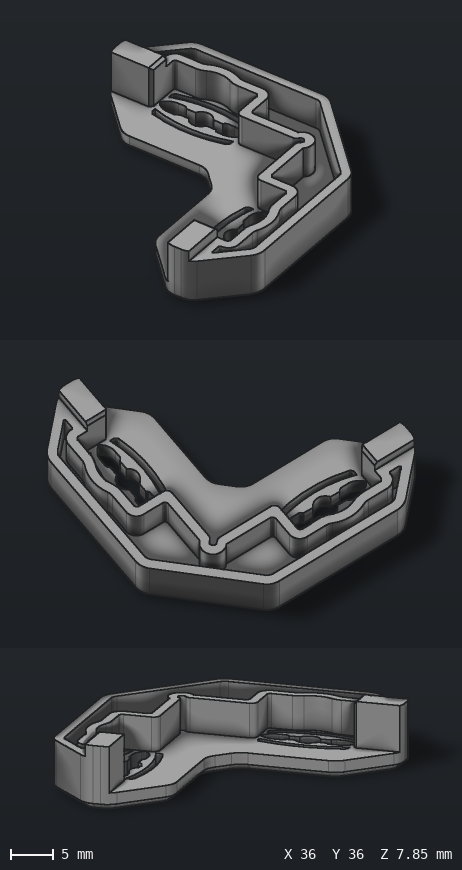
import cadquery as cq
import math


FLOOR_TOP = 2.2
WALL_TOP = 6.4
POST_TOP = 7.85
BOTTOM_BEVEL_HEIGHT = 0.8
BOTTOM_BEVEL_INSET = 1.0

ARM_LENGTH = 28.5
ARM_HALF_WIDTH = 7.5
TIP_HALF_WIDTH = 1.5
TIP_TAPER = ARM_HALF_WIDTH - TIP_HALF_WIDTH
OUTER_CORNER_CUT = 11.0
INNER_CORNER_CUT = 3.0
OUTLINE_RADIUS = 2.5

WALL = 1.25
RECESS_SIDE = 3.15
RECESS_END = -10.5
CORNER_SIDE = -1.5
RECESS_RADIUS = 0.4
HOLLOW_SHOULDER_RADIUS = 1.5
STEP_RADIUS = 0.8
STEP_RADIUS_HOLLOW = 0.5
HOLLOW_END = 2.7
HOLLOW_END_RADIUS = 0.15

CLIP_CENTER = -16.5
BULGE_RADIUS = 3.85
BULGE_BLEND = 3.0

RELIEF_CENTER = -1.4
RELIEF_RADIUS = 0.45
RELIEF_BLEND = 0.8
RELIEF_WALL_CENTER = -1.3
RELIEF_WALL_RADIUS = 1.58

POST_LENGTH = 6.0
POST_BEVEL = 0.4
POST_END = POST_LENGTH - ARM_LENGTH

HUB_RADIUS = 1.45
NECK_HALF_WIDTH = 0.7
NECK_END = 2.6
LOBE_HALF_WIDTH = 1.03
LOBE_RADIUS = 1.12 / 2
NOSE_START = 4.0
NOSE_RADIUS = 2.2
NOSE_ANGLE = math.radians(44)
NOSE_TIP_RADIUS = 0.2
BOW_HALF_LENGTH = 5.55
BOW_INNER_MID = 2.3
BOW_INNER_END = 1.42
BOW_OUTER_MID = 3.1
BOW_OUTER_END = 2.3
BOW_CORNER_RADIUS = 0.56

REACH = 2 * ARM_LENGTH


def both_arms(shape):
    """Join a shape of the -X arm with its mirror image on the -Y arm."""
    flipped = shape.mirror("XZ").rotate((0, 0, 0), (0, 0, 1), 90)
    return shape.union(flipped)


def prism(points, bottom, top):
    return cq.Workplane("XY").workplane(offset=bottom).polyline(points).close().extrude(top - bottom)


def disc(x, y, radius, bottom, top):
    return cq.Workplane("XY").workplane(offset=bottom).center(x, y).circle(radius).extrude(top - bottom)


def round_corners(shape, corners, radius):
    """Round the upright edges of a prism nearest to the given corners."""
    box = shape.val().BoundingBox()
    middle = (box.zmin + box.zmax) / 2
    for x, y in corners:
        shape = shape.edges("|Z").edges(cq.NearestToPointSelector((x, y, middle))).fillet(radius)
    return shape


def outline(top):
    """Bracket outline as an upright prism with rounded corners."""
    w = ARM_HALF_WIDTH
    arm = [
        (w - OUTER_CORNER_CUT, w),
        (TIP_TAPER - ARM_LENGTH, w),
        (-ARM_LENGTH, TIP_HALF_WIDTH),
        (-ARM_LENGTH, -TIP_HALF_WIDTH),
        (TIP_TAPER - ARM_LENGTH, -w),
        (-w - INNER_CORNER_CUT, -w),
    ]
    points = arm + [(y, x) for x, y in reversed(arm)]
    return prism(points, 0, top).edges("|Z").fillet(OUTLINE_RADIUS)


def inner_region(offset, shoulder_radius, step_radius, bottom, top):
    """Space on the inner side of the wall, grown by an offset from the wall's inner face."""
    side = RECESS_SIDE + offset
    start = POST_END - offset
    end = RECESS_END + offset
    corner = CORNER_SIDE + offset
    bulge = BULGE_RADIUS + offset
    base = TIP_HALF_WIDTH if offset == 0 else HOLLOW_END
    arm = prism(
        [
            (-REACH, base),
            (start, base),
            (start, side),
            (end, side),
            (end, corner),
            (corner, corner),
            (corner, -REACH),
            (-REACH, -REACH),
        ],
        bottom,
        top,
    )
    arm = round_corners(arm, [(start, side), (end, side)], shoulder_radius)
    arm = round_corners(arm, [(end, corner)], step_radius)
    arm = arm.union(disc(CLIP_CENTER, 0, bulge, bottom, top))
    half_chord = math.sqrt(bulge**2 - side**2)
    ends = [(CLIP_CENTER - half_chord, side), (CLIP_CENTER + half_chord, side)]
    arm = round_corners(arm, ends, BULGE_BLEND - offset)
    return both_arms(arm)


def recess():
    """Open space above the floor, with the round relief in its inside corner."""
    region = inner_region(0, RECESS_RADIUS, STEP_RADIUS, FLOOR_TOP, REACH)
    c = RELIEF_CENTER
    side = CORNER_SIDE
    region = region.union(disc(c, c, RELIEF_RADIUS, FLOOR_TOP, REACH))
    reach = math.sqrt(RELIEF_RADIUS**2 - (side - c)**2)
    return round_corners(region, [(c - reach, side), (side, c - reach)], RELIEF_BLEND)


def hollow():
    """Pocket between the outer rim and the inner wall."""
    c = RELIEF_WALL_CENTER
    island = inner_region(WALL, HOLLOW_SHOULDER_RADIUS, STEP_RADIUS_HOLLOW, 0, REACH)
    island = island.union(disc(c, c, RELIEF_WALL_RADIUS, 0, REACH))
    base_wire = outline(REACH).faces("<Z").wires().toPending()
    pocket = base_wire.offset2D(-WALL).extrude(REACH, combine=False).cut(island)
    end_right = POST_END - WALL
    diagonal = TIP_HALF_WIDTH + ARM_LENGTH - WALL * math.sqrt(2)
    end_left = HOLLOW_END - diagonal
    ends = [(end_right, HOLLOW_END), (end_left, HOLLOW_END)]
    ends += [(y, x) for x, y in ends]
    pocket = round_corners(pocket, ends, HOLLOW_END_RADIUS)
    return pocket.translate((0, 0, FLOOR_TOP))


def posts(envelope):
    post = prism(
        [
            (-REACH, -TIP_HALF_WIDTH),
            (POST_END, -TIP_HALF_WIDTH),
            (POST_END, TIP_HALF_WIDTH),
            (-REACH, TIP_HALF_WIDTH),
        ],
        FLOOR_TOP,
        POST_TOP,
    )
    post = post.faces(">X").edges(">Z or <Y").chamfer(POST_BEVEL)
    return both_arms(post).intersect(envelope)


def crest_point(x, radius, angle):
    """Point on a lobe arc, turned by an angle from its crest on the lobe side at x."""
    return (x + radius * math.sin(angle), LOBE_HALF_WIDTH - radius * (1 - math.cos(angle)))


def spindle():
    """Round hub with a necked lobe and a pointed nose at either end."""
    step_angle = math.acos(1 - (LOBE_HALF_WIDTH - NECK_HALF_WIDTH) / LOBE_RADIUS)
    lobe_start = NECK_END + LOBE_RADIUS * math.sin(step_angle)
    nose_end = crest_point(NOSE_START, NOSE_RADIUS, NOSE_ANGLE)
    tip = nose_end[0] + nose_end[1] / math.tan(NOSE_ANGLE)
    quarter = (
        cq.Workplane("XY")
        .lineTo(0, NECK_HALF_WIDTH)
        .lineTo(NECK_END, NECK_HALF_WIDTH)
        .threePointArc(
            crest_point(lobe_start, LOBE_RADIUS, -step_angle / 2),
            (lobe_start, LOBE_HALF_WIDTH),
        )
        .lineTo(NOSE_START, LOBE_HALF_WIDTH)
        .threePointArc(crest_point(NOSE_START, NOSE_RADIUS, NOSE_ANGLE / 2), nose_end)
        .lineTo(tip, 0)
        .close()
        .extrude(FLOOR_TOP)
    )
    half = quarter.union(quarter.mirror("XZ"))
    half = round_corners(half, [(tip, 0)], NOSE_TIP_RADIUS)
    hub = disc(0, 0, HUB_RADIUS, 0, FLOOR_TOP)
    return half.union(half.mirror("YZ")).union(hub)


def clip_openings():
    """Spindle and bowed slots through the floor of both arms."""
    n = BOW_HALF_LENGTH
    bow = (
        cq.Workplane("XY")
        .moveTo(-n, BOW_INNER_END)
        .threePointArc((0, BOW_INNER_MID), (n, BOW_INNER_END))
        .lineTo(n, BOW_OUTER_END)
        .threePointArc((0, BOW_OUTER_MID), (-n, BOW_OUTER_END))
        .close()
        .extrude(FLOOR_TOP)
    )
    bow = round_corners(bow, [(-n, BOW_OUTER_END), (n, BOW_OUTER_END)], BOW_CORNER_RADIUS)
    openings = spindle().union(bow).union(bow.mirror("XZ"))
    return both_arms(openings.translate((CLIP_CENTER, 0, 0)))


def body():
    block = outline(POST_TOP)
    block = block.faces("<Z").edges().chamfer(BOTTOM_BEVEL_HEIGHT, BOTTOM_BEVEL_INSET)
    walls = block.intersect(outline(WALL_TOP)).cut(recess()).cut(hollow())
    return walls.union(posts(block)).cut(clip_openings())


result = body()